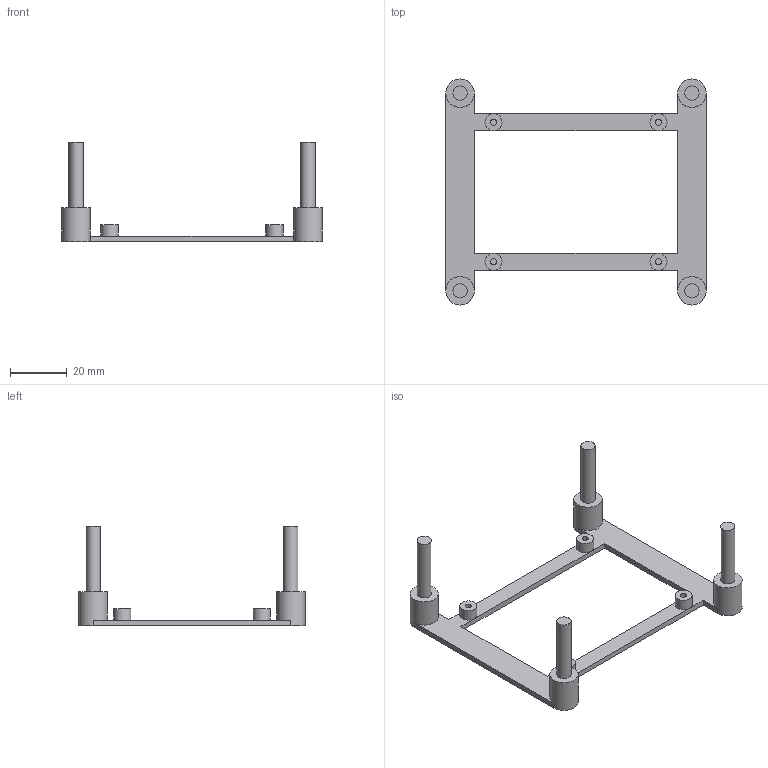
import cadquery as cq

overall_x = 91.5
overall_y = 79.5
overall_height = 35.0
plate_thickness = 2.0

post_diameter = 10.0
post_height = 12.0
pin_diameter = 5.0

standoff_spacing_x = 58.0
standoff_spacing_y = 49.0
standoff_diameter = 6.0
standoff_height = 6.0
standoff_hole_diameter = 2.15
cross_bar_width = standoff_diameter

post_spacing_x = overall_x - post_diameter
post_spacing_y = overall_y - post_diameter


def corner_points(spacing_x, spacing_y):
    """Four points of a rectangle centred on the origin."""
    return [(sx * spacing_x / 2, sy * spacing_y / 2) for sx in (-1, 1) for sy in (-1, 1)]


def cylinders(points, diameter, height):
    """Upright cylinders standing on the bottom plane."""
    return cq.Workplane("XY").pushPoints(points).circle(diameter / 2).extrude(height)


def flat_bars(points, size_x, size_y):
    """Flat bars of plate thickness centred on the given points."""
    return cq.Workplane("XY").pushPoints(points).rect(size_x, size_y).extrude(plate_thickness)


def make_frame():
    """Two side rails between the posts, joined by two cross bars under the standoffs."""
    rail_centres = [(side * post_spacing_x / 2, 0) for side in (-1, 1)]
    bar_centres = [(0, side * standoff_spacing_y / 2) for side in (-1, 1)]
    rails = flat_bars(rail_centres, post_diameter, post_spacing_y)
    cross_bars = flat_bars(bar_centres, post_spacing_x, cross_bar_width)
    return rails.union(cross_bars)


def make_posts():
    """Corner posts with their pins."""
    points = corner_points(post_spacing_x, post_spacing_y)
    bases = cylinders(points, post_diameter, post_height)
    pins = cylinders(points, pin_diameter, overall_height)
    return bases.union(pins)


def add_standoffs(body):
    """Add the standoffs and drill their blind holes down to the plate's top face."""
    points = corner_points(standoff_spacing_x, standoff_spacing_y)
    standoffs = cylinders(points, standoff_diameter, standoff_height)
    holes = cylinders(points, standoff_hole_diameter, standoff_height)
    holes = holes.cut(flat_bars([(0, 0)], overall_x, overall_y))
    return body.union(standoffs).cut(holes)


result = add_standoffs(make_frame().union(make_posts()))